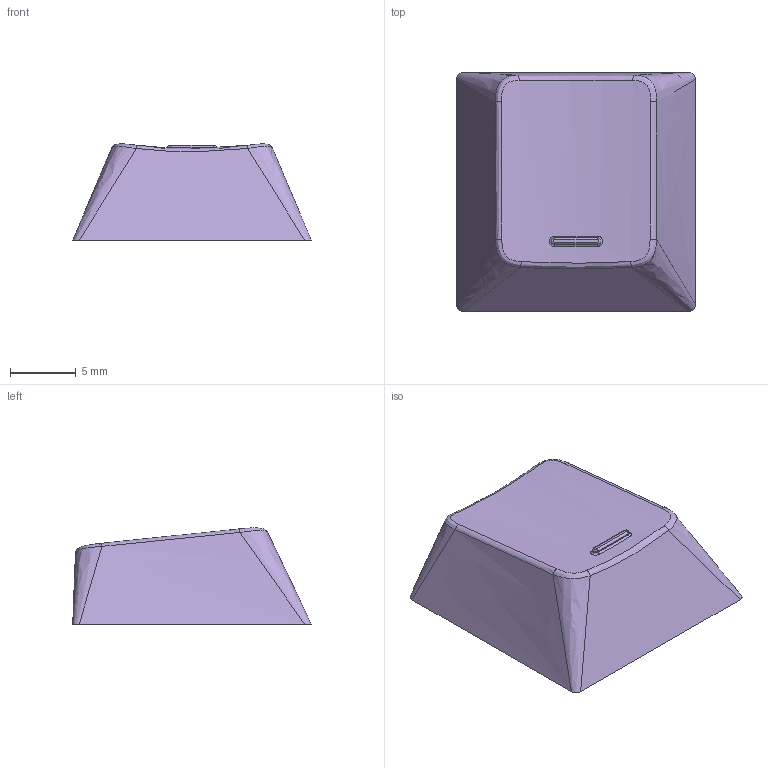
import cadquery as cq
import math

base_size = 18.1
base_corner = 0.5
round_fullness = 4 / 3 * math.tan(math.pi / 8)

tilt = 6.0
top_width = 11.9
top_length = 14.35
top_corner = 2.1
top_corner_fullness = 0.72
top_centre_y = 1.68
top_centre_z = 6.79

dish_radius = 35.0
dish_floor_depth = 0.57
rim_fillet = 0.44

bar_length = 3.75
bar_width = 0.5
bar_centre_y = -3.7
bar_height = 0.4
bar_edge_fillet = 0.15
bar_root_fillet = 0.15
bar_root_depth = 1.0


def top_plane(along_slope=0.0, lift=0.0):
    """Plane of the top outline, shifted along the slope and along its normal."""
    plane = cq.Plane(
        origin=(0, top_centre_y, top_centre_z),
        xDir=(1, 0, 0),
        normal=(0, math.sin(math.radians(tilt)), math.cos(math.radians(tilt))),
    )
    return cq.Plane(
        origin=plane.toWorldCoords((0, along_slope, lift)),
        xDir=plane.xDir,
        normal=plane.zDir,
    )


def rounded_rectangle(plane, width, length, corner, fullness):
    """Closed outline with curved corners, counter-clockwise from the end of the -X -Y corner.

    Each corner is a Bezier curve that starts and ends at the corner size from the sharp
    corner. Its handles reach the fullness fraction of the way to that sharp corner.
    """
    path = cq.Workplane(plane).moveTo(corner - width / 2, -length / 2)
    handle_gap = corner * (1 - fullness)
    for side_x, side_y in ((1, -1), (1, 1), (-1, 1), (-1, -1)):
        sharp_x = side_x * width / 2
        sharp_y = side_y * length / 2
        on_y_side = [(sharp_x - side_x * gap, sharp_y) for gap in (corner, handle_gap)]
        on_x_side = [(sharp_x, sharp_y - side_y * gap) for gap in (handle_gap, corner)]
        points = on_y_side + on_x_side
        if side_x == side_y:
            points.reverse()
        path = path.lineTo(*points[0]).bezier(points[1:], includeCurrent=True)
    return path.wire().val()


def build_body():
    """Loft from the flat base up to the tilted top outline."""
    base = rounded_rectangle(cq.Plane.XY(), base_size, base_size, base_corner, round_fullness)
    top = rounded_rectangle(top_plane(), top_width, top_length, top_corner, top_corner_fullness)
    return cq.Workplane(cq.Solid.makeLoft([base, top], True))


def cut_dish(body):
    """Scoop the top with a cylinder that runs along the slope, then round the rim."""
    start = top_plane(-top_length, dish_radius - dish_floor_depth)
    dish = cq.Solid.makeCylinder(dish_radius, 2 * top_length, start.origin, start.yDir)
    scooped = body.cut(cq.Workplane(dish))
    floor_centre = top_plane(0, -dish_floor_depth).origin.toTuple()
    dish_floor = scooped.faces(cq.selectors.NearestToPointSelector(floor_centre))
    return dish_floor.edges().fillet(rim_fillet)


def bar_plane(height):
    """Plane parallel to the top, centred on the bar at a height above the dish floor."""
    along_slope = (bar_centre_y - top_centre_y) / math.cos(math.radians(tilt))
    return top_plane(along_slope, height - dish_floor_depth)


def add_homing_bar(body):
    """Raise a round-ended bar from the dish floor and blend its foot."""
    bar = cq.Workplane(bar_plane(bar_height)).slot2D(bar_length, bar_width)
    bar = bar.extrude(-bar_height - bar_root_depth)
    top_face = bar.faces(cq.selectors.DirectionMinMaxSelector(bar_plane(0).zDir))
    bar = top_face.edges().fillet(bar_edge_fillet)
    joined = body.union(bar)
    root_edges = cq.selectors.BoxSelector(
        (-bar_length, bar_centre_y - bar_width, 0),
        (bar_length, bar_centre_y + bar_width, bar_plane(bar_height / 2).origin.z),
        boundingbox=True,
    )
    return joined.edges(root_edges).fillet(bar_root_fillet)


result = add_homing_bar(cut_dish(build_body()))